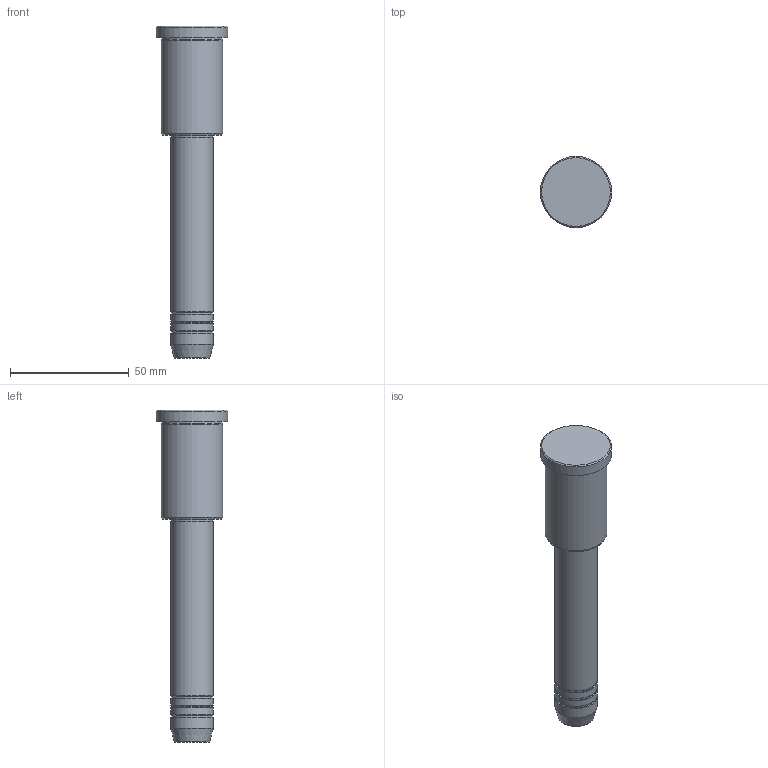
import cadquery as cq
import math

total_length = 140.0
head_height = 5.0
seat_length = 41.0
head_underside = total_length - head_height
seat_bottom = head_underside - seat_length

head_radius = 30.0 / 2
seat_radius = 26.0 / 2
shank_radius = 18.0 / 2

head_chamfer = 0.5
seat_chamfer_width = 0.4
seat_chamfer_height = 0.75

relief_width = 1.0
head_relief_depth = 0.2
head_relief_flank = 0.35
seat_relief_depth = 0.25

oil_groove_count = 3
oil_groove_pitch = 4.0
oil_groove_width = 1.1
oil_groove_depth = 0.4
lowest_oil_groove_center = 11.0

taper_length = 5.7
taper_angle = 15.0
tip_radius = shank_radius - taper_length * math.tan(math.radians(taper_angle))
tip_fillet = 0.25


def revolve_profile(points):
    """Turn a closed (radius, height) outline about the Z axis."""
    outline = [(-radius, height) for radius, height in points]
    return cq.Workplane("XZ").polyline(outline).close().revolve(360, (0, 0, 0), (0, 1, 0))


def cylinder(radius, bottom, top):
    """Solid cylinder on the Z axis between two heights."""
    return cq.Workplane("XY").workplane(offset=bottom).circle(radius).extrude(top - bottom)


def groove_cutter(radius, depth, bottom, top, lower_flank=0.0, upper_flank=0.0):
    """Ring that cuts a groove; each flank is the height its sloped wall takes up."""
    floor_radius = radius - depth
    return revolve_profile([
        (radius, bottom),
        (floor_radius, bottom + lower_flank),
        (floor_radius, top - upper_flank),
        (radius, top),
    ])


def make_head():
    head = cylinder(head_radius, head_underside, total_length)
    return head.faces(">Z").chamfer(head_chamfer)


def make_seat():
    chamfer_top = seat_bottom + seat_chamfer_height
    seat = revolve_profile([
        (0, seat_bottom),
        (seat_radius - seat_chamfer_width, seat_bottom),
        (seat_radius, chamfer_top),
        (seat_radius, head_underside),
        (0, head_underside),
    ])
    relief = groove_cutter(
        seat_radius,
        head_relief_depth,
        head_underside - relief_width,
        head_underside,
        lower_flank=head_relief_flank,
    )
    return seat.cut(relief)


def make_lead_in():
    taper = revolve_profile([
        (0, 0),
        (tip_radius, 0),
        (shank_radius, taper_length),
        (0, taper_length),
    ])
    return taper.faces("<Z").edges().fillet(tip_fillet)


def make_shank():
    shank = cylinder(shank_radius, taper_length, seat_bottom)
    for index in range(oil_groove_count):
        center = lowest_oil_groove_center + index * oil_groove_pitch
        oil_groove = groove_cutter(
            shank_radius,
            oil_groove_depth,
            center - oil_groove_width / 2,
            center + oil_groove_width / 2,
            upper_flank=oil_groove_depth,
        )
        shank = shank.cut(oil_groove)
    relief = groove_cutter(shank_radius, seat_relief_depth, seat_bottom - relief_width, seat_bottom)
    return shank.cut(relief)


result = make_head().union(make_seat()).union(make_shank()).union(make_lead_in())